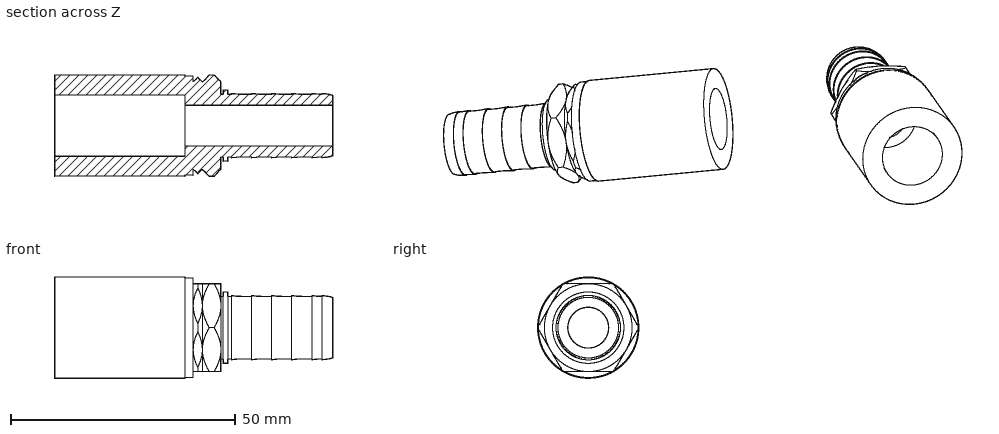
import cadquery as cq
import math

total_length = 62.0

sleeve_diameter = 22.6
sleeve_end = 29.0
collar_diameter = 22.25
collar_end = 30.9

hex_across_flats = 19.6
hex_across_corners = hex_across_flats / math.cos(math.pi / 6)
jam_nut_width = 2.05
nut_width = 4.15

neck_diameter = 14.0
neck_length = 0.5
flange_diameter = 15.95
flange_width = 1.05
root_length = 0.75
barb_diameter = 14.4
barb_count = 5
tip_diameter = 13.5
tip_length = 2.4

socket_diameter = 13.65
bore_diameter = 9.05

nut_start = collar_end + jam_nut_width
neck_start = nut_start + nut_width
flange_start = neck_start + neck_length
flange_end = flange_start + flange_width
barbs_start = flange_end + root_length
tip_start = total_length - tip_length
taper_length = (tip_start - barbs_start) / (2 * barb_count - 1)
barb_pitch = 2 * taper_length


def cylinder(start, end, diameter):
    return cq.Workplane("YZ", origin=(start, 0, 0)).circle(diameter / 2).extrude(end - start)


def chamfered_hexagon(start, width):
    """Hexagon with flats facing +Z and -Z and corners cut by 45 degree cones at both faces."""
    end = start + width
    face_radius = hex_across_flats / 2
    peak_radius = face_radius + width / 2
    hexagon = (
        cq.Workplane("YZ", origin=(start, 0, 0))
        .polygon(6, hex_across_corners)
        .extrude(width)
    )
    double_cone = (
        cq.Workplane("XY")
        .polyline([
            (start, 0),
            (start, face_radius),
            (start + width / 2, peak_radius),
            (end, face_radius),
            (end, 0),
        ])
        .close()
        .revolve(360, (0, 0, 0), (1, 0, 0))
    )
    return hexagon.intersect(double_cone)


def barbed_tail():
    """Neck, flange, tapered barbs and rounded tip, turned about X."""
    neck_radius = neck_diameter / 2
    flange_radius = flange_diameter / 2
    barb_radius = barb_diameter / 2
    profile = (
        cq.Workplane("XY")
        .moveTo(neck_start, 0)
        .lineTo(neck_start, neck_radius)
        .lineTo(flange_start, neck_radius)
        .lineTo(flange_start, flange_radius)
        .lineTo(flange_end, flange_radius)
        .lineTo(flange_end, neck_radius)
    )
    for index in range(barb_count):
        barb_start = barbs_start + index * barb_pitch
        profile = (
            profile.lineTo(barb_start, neck_radius)
            .lineTo(barb_start, barb_radius)
            .lineTo(barb_start + taper_length, neck_radius)
        )
    drop = (barb_diameter - tip_diameter) / 2
    arc_radius = (tip_length ** 2 + drop ** 2) / (2 * drop)
    return (
        profile.lineTo(tip_start, barb_radius)
        .radiusArc((total_length, tip_diameter / 2), arc_radius)
        .lineTo(total_length, 0)
        .close()
        .revolve(360, (0, 0, 0), (1, 0, 0))
    )


outside = (
    cylinder(0, sleeve_end, sleeve_diameter)
    .union(cylinder(sleeve_end, collar_end, collar_diameter))
    .union(chamfered_hexagon(collar_end, jam_nut_width))
    .union(chamfered_hexagon(nut_start, nut_width))
    .union(barbed_tail())
)

result = (
    outside
    .cut(cylinder(0, sleeve_end, socket_diameter))
    .cut(cylinder(0, total_length, bore_diameter))
)